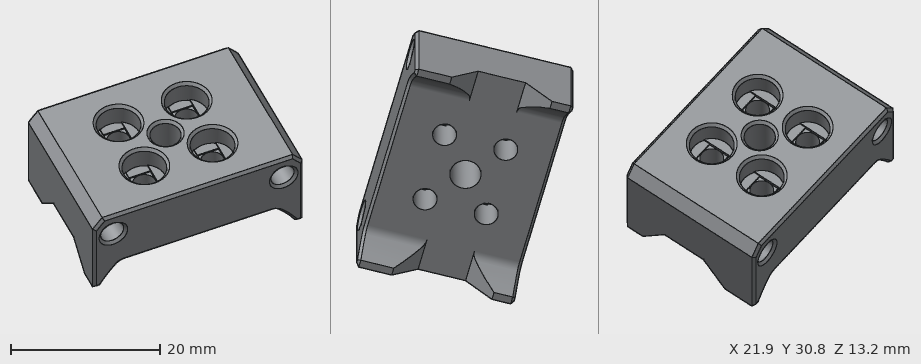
import cadquery as cq
import math

WIDTH = 21.9
LENGTH = 30.8
HEIGHT = 13.2
BEVEL_RUN = 1.42
BEVEL_DROP = 1.7
EDGE_CHAMFER = 0.4

OPENING_HEIGHT = 3.65
ARCH_RADIUS = 16.5
ARCH_AXIS_DROP = 8.22
ARCH_FILLET = 1.5

CHANNEL_OFFSET = 1.0
CHANNEL_CEILING_WIDTH = 6.6

CENTRE_HOLE_DIAMETER = 4.2
BORE_DIAMETER = 6.0
BORE_DEPTH = 3.1
SCREW_HOLE_DIAMETER = 3.2
BRIDGE_STEP = 0.2
SCREW_SPACING_X = 8.5
SCREW_SPACING_Y = 10.0
HOLE_PATTERN_SHIFT = 0.1

CROSS_HOLE_DIAMETER = 3.4
CROSS_HOLE_SPACING = 25.0
CROSS_HOLE_DROP = 3.5


def arch_profile():
    """Closed YZ outline of the arch opening: flat ceiling, filleted into circular sides."""
    base_half = math.sqrt(ARCH_RADIUS**2 - ARCH_AXIS_DROP**2)
    fillet_z = OPENING_HEIGHT - ARCH_FILLET
    fillet_rise = fillet_z + ARCH_AXIS_DROP
    fillet_y = math.sqrt((ARCH_RADIUS - ARCH_FILLET) ** 2 - fillet_rise**2)
    join_angle = math.atan2(fillet_rise, fillet_y)
    base_angle = math.atan2(ARCH_AXIS_DROP, base_half)
    side_angle = (join_angle + base_angle) / 2
    fillet_angle = (join_angle + math.pi / 2) / 2

    join = (
        ARCH_RADIUS * math.cos(join_angle),
        ARCH_RADIUS * math.sin(join_angle) - ARCH_AXIS_DROP,
    )
    side_middle = (
        ARCH_RADIUS * math.cos(side_angle),
        ARCH_RADIUS * math.sin(side_angle) - ARCH_AXIS_DROP,
    )
    fillet_middle = (
        fillet_y + ARCH_FILLET * math.cos(fillet_angle),
        fillet_z + ARCH_FILLET * math.sin(fillet_angle),
    )

    def mirrored(point):
        return (-point[0], point[1])

    return (
        cq.Workplane("YZ")
        .moveTo(base_half, 0)
        .threePointArc(side_middle, join)
        .threePointArc(fillet_middle, (fillet_y, OPENING_HEIGHT))
        .lineTo(-fillet_y, OPENING_HEIGHT)
        .threePointArc(mirrored(fillet_middle), mirrored(join))
        .threePointArc(mirrored(side_middle), (-base_half, 0))
        .close()
    )


def block():
    """Bevelled block with the arch opening, chamfered around both side faces."""
    half_length = LENGTH / 2
    outline = [
        (-half_length, 0),
        (half_length, 0),
        (half_length, HEIGHT - BEVEL_DROP),
        (half_length - BEVEL_RUN, HEIGHT),
        (BEVEL_RUN - half_length, HEIGHT),
        (-half_length, HEIGHT - BEVEL_DROP),
    ]
    body = cq.Workplane("YZ").polyline(outline).close().extrude(WIDTH / 2, both=True)
    body = body.cut(arch_profile().extrude(WIDTH / 2, both=True))
    return body.faces("<X or >X").edges().chamfer(EDGE_CHAMFER)


def channel():
    """Trapezoidal channel running the full length, offset from the middle."""
    ceiling_half = CHANNEL_CEILING_WIDTH / 2
    base_half = ceiling_half + OPENING_HEIGHT
    outline = [
        (CHANNEL_OFFSET - base_half, 0),
        (CHANNEL_OFFSET - ceiling_half, OPENING_HEIGHT),
        (CHANNEL_OFFSET + ceiling_half, OPENING_HEIGHT),
        (CHANNEL_OFFSET + base_half, 0),
    ]
    return cq.Workplane("XZ").polyline(outline).close().extrude(LENGTH / 2, both=True)


def drill(diameter, length):
    """Vertical hole cutter, from z = 0 down, with a chamfered mouth at the top."""
    radius = diameter / 2
    mouth = radius + EDGE_CHAMFER
    outline = [(0, 0), (mouth, 0), (radius, -EDGE_CHAMFER), (radius, -length), (0, -length)]
    return cq.Workplane("XZ").polyline(outline).close().revolve(360, (0, 0, 0), (0, 1, 0))


def screw_hole():
    """Counterbored hole whose floor steps down to a slot, a square and then the round hole."""
    slot_depth = BORE_DEPTH + BRIDGE_STEP
    square_depth = slot_depth + BRIDGE_STEP
    bore = cq.Workplane("XY").circle(BORE_DIAMETER / 2).extrude(-slot_depth)
    slot = bore.intersect(
        cq.Workplane("XY").rect(BORE_DIAMETER, SCREW_HOLE_DIAMETER).extrude(-slot_depth)
    )
    square = cq.Workplane("XY").rect(SCREW_HOLE_DIAMETER, SCREW_HOLE_DIAMETER).extrude(-square_depth)
    shank = cq.Workplane("XY").circle(SCREW_HOLE_DIAMETER / 2).extrude(-HEIGHT)
    return drill(BORE_DIAMETER, BORE_DEPTH).union(slot).union(square).union(shank)


def cross_hole():
    """Hole along X, centred on the origin, with a chamfered mouth on each side face."""
    half = drill(CROSS_HOLE_DIAMETER, WIDTH / 2).translate((0, 0, WIDTH / 2))
    return half.union(half.mirror("XY")).rotate((0, 0, 0), (0, 1, 0), 90)


result = block().cut(channel())
result = result.cut(drill(CENTRE_HOLE_DIAMETER, HEIGHT).translate((HOLE_PATTERN_SHIFT, 0, HEIGHT)))

for side_x in (-1, 1):
    for side_y in (-1, 1):
        place = (HOLE_PATTERN_SHIFT + side_x * SCREW_SPACING_X / 2, side_y * SCREW_SPACING_Y / 2, HEIGHT)
        result = result.cut(screw_hole().translate(place))

for side_y in (-1, 1):
    place = (0, side_y * CROSS_HOLE_SPACING / 2, HEIGHT - CROSS_HOLE_DROP)
    result = result.cut(cross_hole().translate(place))